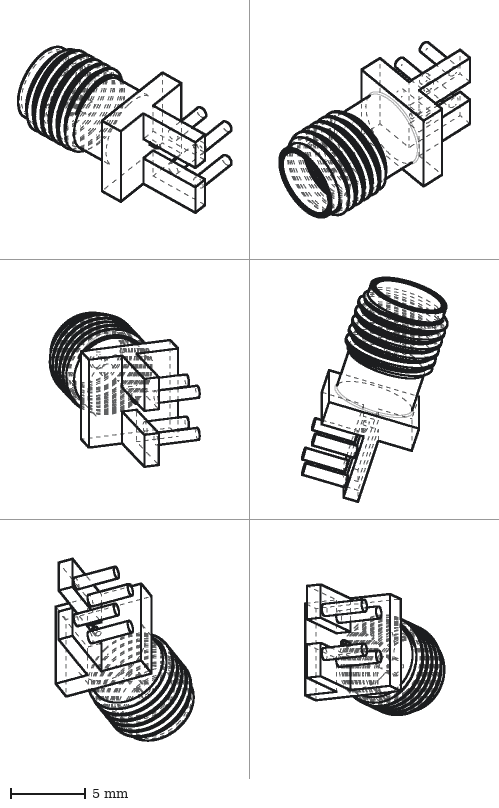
import cadquery as cq
import math

total_length = 14.08

flange_side = 6.35
flange_start = 7.85
flange_end = 9.52
leg_top_y = 0.21
leg_thickness = 1.03
leg_gap = 1.73
overall_depth = 6.36
pin_tip_y = overall_depth - flange_side / 2
pin_diameter = 0.83
pin_positions_x = (11.28, 13.49)
pin_offset_z = 1.52

barrel_radius = 2.66
barrel_bevel = 0.08
barrel_fillet = 0.11

thread_start = 0.79
thread_end = 4.98
thread_radius = 3.1
root_radius = 2.76
pitch = 0.7
root_flat = 0.14
flank_angle = 30.0
groove_phase_x = 0.62
groove_overrun = 0.04
groove_turns = math.ceil((thread_end - thread_start) / pitch) + 2

bore_radius = 2.34
bore_depth = 1.97
bore_bevel = 0.1
recess_radius = 2.14
recess_step_radius = 2.05
insulator_radius = 1.95
recess_depth = 0.21

socket_radius = 0.48
socket_bevel = 0.13
socket_depth = 1.97
socket_cone_depth = 0.28
slot_width = 0.24
slot_depth = 1.13
tail_radius = 0.18
tail_end = 10.3
tail_bevel_length = 0.18
tail_tip_radius = 0.07


def revolve_about_x(outline):
    """Turn a closed outline of (x, radius) points around the X axis."""
    return cq.Workplane("XY").polyline(outline).close().revolve(360, (0, 0, 0), (1, 0, 0))


def block(x_range, y_range, z_range):
    """Rectangular block filling the given ranges."""
    size = [high - low for low, high in (x_range, y_range, z_range)]
    corner = (x_range[0], y_range[0], z_range[0])
    return cq.Workplane("XY").box(*size, centered=False).translate(corner)


def make_barrel():
    fillet_start = flange_start - barrel_fillet
    foot_radius = barrel_radius + barrel_fillet
    diagonal = barrel_fillet * math.sqrt(0.5)
    return (
        cq.Workplane("XY")
        .moveTo(0, 0)
        .lineTo(0, barrel_radius - barrel_bevel)
        .lineTo(barrel_bevel, barrel_radius)
        .lineTo(fillet_start, barrel_radius)
        .threePointArc(
            (fillet_start + diagonal, foot_radius - diagonal), (flange_start, foot_radius)
        )
        .lineTo(flange_end, foot_radius)
        .lineTo(flange_end, 0)
        .close()
        .revolve(360, (0, 0, 0), (1, 0, 0))
    )


def polygon_face(corners):
    return cq.Face.makeFromWires(cq.Wire.makePolygon(corners, close=True))


def helical_solid(section, turns):
    """Right-handed helix along Z, made turn by turn, from a section of (radius, height) points."""
    faces = []
    for turn in range(turns):
        edges = []
        for radius, height in section:
            helix = cq.Wire.makeHelix(pitch, pitch, radius)
            edges.append(helix.translate(cq.Vector(0, 0, height + turn * pitch)))
        for edge, following in zip(edges, edges[1:] + edges[:1]):
            faces.append(cq.Face.makeRuledSurface(edge, following))
        if turn == 0:
            faces.append(polygon_face([edge.startPoint() for edge in edges]))
        if turn == turns - 1:
            faces.append(polygon_face([edge.endPoint() for edge in edges]))
    return cq.Solid.makeSolid(cq.Shell.makeShell(faces)).fix()


def make_thread():
    """Collar with 45-degree ends and a right-hand helical groove running out at both ends."""
    rise = thread_radius - barrel_radius
    collar = revolve_about_x([
        (thread_start, 0),
        (thread_start, barrel_radius),
        (thread_start + rise, thread_radius),
        (thread_end - rise, thread_radius),
        (thread_end, barrel_radius),
        (thread_end, 0),
    ])
    cut_radius = thread_radius + groove_overrun
    half_root = root_flat / 2
    half_mouth = half_root + (cut_radius - root_radius) * math.tan(math.radians(flank_angle))
    groove_section = [
        (root_radius, -half_root),
        (cut_radius, -half_mouth),
        (cut_radius, half_mouth),
        (root_radius, half_root),
    ]
    groove = (
        cq.Workplane(helical_solid(groove_section, groove_turns))
        .rotate((0, 0, 0), (0, 1, 0), 90)
        .rotate((0, 0, 0), (1, 0, 0), 180)
        .translate((groove_phase_x - pitch, 0, 0))
    )
    return collar.cut(groove)


def make_flange_and_legs():
    half_side = flange_side / 2
    full_width = (-half_side, half_side)
    body = block((flange_start, flange_end), full_width, full_width)
    leg_y = (leg_top_y - leg_thickness, leg_top_y)
    for side in (-1, 1):
        leg_z = sorted((side * leg_gap / 2, side * half_side))
        body = body.union(block((flange_end, total_length), leg_y, leg_z))
        for x in pin_positions_x:
            pin = cq.Solid.makeCylinder(
                pin_diameter / 2,
                pin_tip_y,
                cq.Vector(x, 0, side * pin_offset_z),
                cq.Vector(0, 1, 0),
            )
            body = body.union(cq.Workplane(pin))
    return body


def make_contact_tail():
    return revolve_about_x([
        (flange_start, 0),
        (flange_start, tail_radius),
        (tail_end - tail_bevel_length, tail_radius),
        (tail_end, tail_tip_radius),
        (tail_end, 0),
    ])


def make_bore():
    """Bevelled bore, stepping down to an insulator with a bevelled rim."""
    insulator_face = bore_depth + recess_depth
    rim_bevel = recess_step_radius - insulator_radius
    step_bevel = recess_radius - recess_step_radius
    return revolve_about_x([
        (0, 0),
        (0, bore_radius + bore_bevel),
        (bore_bevel, bore_radius),
        (bore_depth, bore_radius),
        (bore_depth, recess_radius),
        (bore_depth + step_bevel, recess_step_radius),
        (insulator_face + rim_bevel, recess_step_radius),
        (insulator_face, insulator_radius),
        (insulator_face, 0),
    ])


def make_socket():
    """Bevelled contact hole with a conical bottom and a slot across it."""
    mouth = bore_depth + recess_depth
    bottom = mouth + socket_depth
    hole = revolve_about_x([
        (mouth, 0),
        (mouth, socket_radius + socket_bevel),
        (mouth + socket_bevel, socket_radius),
        (bottom, socket_radius),
        (bottom + socket_cone_depth, 0),
    ])
    slot_reach = socket_radius + socket_bevel
    slot = block(
        (mouth, mouth + slot_depth),
        (-slot_width / 2, slot_width / 2),
        (-slot_reach, slot_reach),
    )
    return hole.union(slot)


solid_body = make_barrel().union(make_thread()).union(make_flange_and_legs()).union(make_contact_tail())
result = solid_body.cut(make_bore()).cut(make_socket())